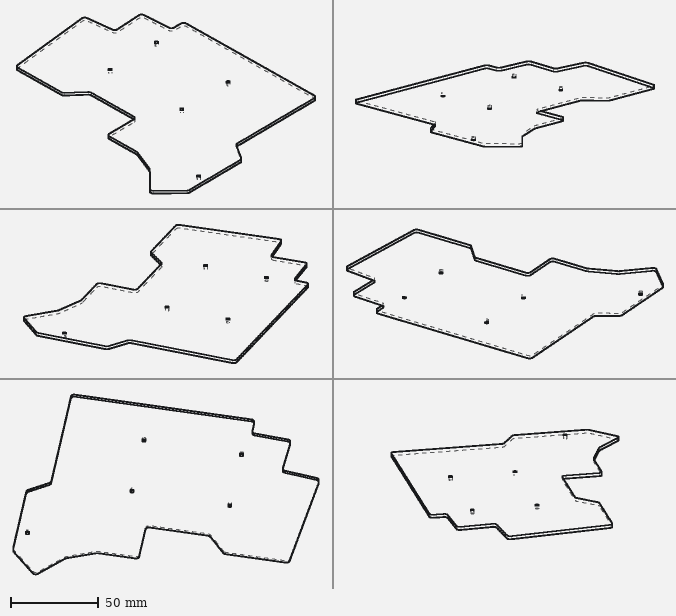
import cadquery as cq
import math


width = 163.5
depth = 133.0
thickness = 2.0
corner_radius = 2.0
hole_diameter = 2.0

field_left = 44.1
field_right = 150.7
field_bottom = 45.6

inner_column_lean = math.radians(3)
outer_column_lean = math.radians(6)
inner_column_corner = (21.1, 122.0)
inner_column_length = 22.7
outer_column_bottom = 34.0
outer_column_bottom_right = 44.1
slant_top = 54.6

thumb_left = 91.5
thumb_bottom = 21.7
thumb_bend_x = 115.8
thumb_shoulder_x = 132.8
thumb_side_bottom = 14.7
thumb_side_top = 58.5
thumb_side_start = 66.9
tip_x = 148.0

left_hole_x = 47.3
right_hole_x = 104.1
left_upper_hole_y = 107.6
right_hole_rise = 0.5
hole_row_spacing = 38.0
thumb_hole = (157.6, 29.3)


def step_outline():
    """Return the stepped left side, from the field's top corner to the lower left corner."""
    inner_x, inner_y = inner_column_corner
    inner_step_y = inner_y + (field_left - inner_x) * math.tan(inner_column_lean)

    outer_step_x = inner_x + inner_column_length * math.sin(inner_column_lean)
    outer_step_y = inner_y - inner_column_length * math.cos(inner_column_lean)

    lean_cos = math.cos(outer_column_lean)
    lean_sin = math.sin(outer_column_lean)
    outer_x = corner_radius * (1 - lean_cos - lean_sin)
    outer_y = outer_step_y - (outer_step_x - outer_x) * math.tan(outer_column_lean)
    bottom_left_x = outer_x + (outer_y - outer_column_bottom) * math.tan(outer_column_lean)

    return [
        (field_left, depth),
        (field_left, inner_step_y),
        inner_column_corner,
        (outer_step_x, outer_step_y),
        (outer_x, outer_y),
        (bottom_left_x, outer_column_bottom),
    ]


def lower_outline():
    """Return the lower and right sides, from the outer column to the field's top right corner."""
    tip_y = -corner_radius * (math.sqrt(2) - 1)

    return [
        (outer_column_bottom_right, outer_column_bottom),
        (slant_top, field_bottom),
        (thumb_left, field_bottom),
        (thumb_left, thumb_bottom),
        (thumb_bend_x, thumb_bottom),
        (thumb_shoulder_x, thumb_side_bottom),
        (tip_x, tip_y),
        (width, thumb_side_bottom),
        (width, thumb_side_top),
        (field_right, thumb_side_start),
        (field_right, depth),
    ]


def make_plate():
    """Extrude the outline and round every corner of it."""
    outline = step_outline() + lower_outline()
    plate = cq.Workplane("XY").polyline(outline).close().extrude(thickness)
    return plate.edges("|Z").fillet(corner_radius)


def hole_centers():
    """Return the centers of all screw holes."""
    centers = [thumb_hole]
    for row in range(2):
        left_y = left_upper_hole_y - row * hole_row_spacing
        centers.append((left_hole_x, left_y))
        centers.append((right_hole_x, left_y + right_hole_rise))
    return centers


def make_holes():
    """Return the cylinders that cut the screw holes through the plate."""
    return cq.Workplane("XY").pushPoints(hole_centers()).circle(hole_diameter / 2).extrude(thickness)


result = make_plate().cut(make_holes())